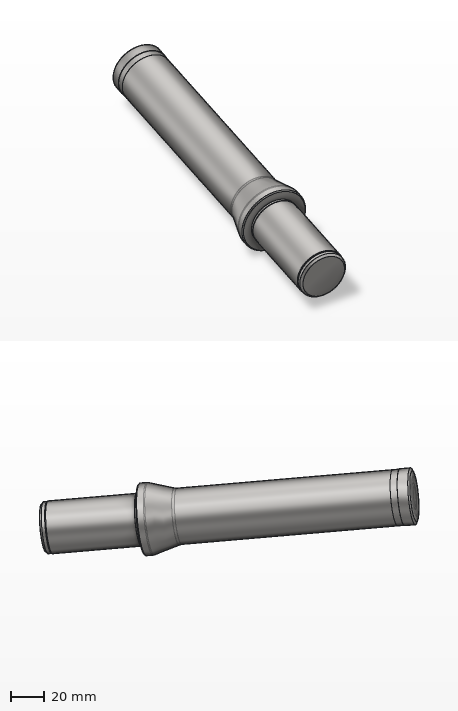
import cadquery as cq

LENGTH = 227.0
X_START = -LENGTH / 2
X_END = LENGTH / 2

COLLAR_RADIUS = 17.3
COLLAR_END = X_START + 7.7
CAP_END = X_START + 12.0
FACE_RADIUS = 15.32
BEVEL_LENGTH = 1.0
FACE_SLOPE = 0.1
RIDGE_WIDTH = 0.7
OUTER_RIDGE_RADIUS = 11.5
VALLEY_RADIUS = 8.0
INNER_RIDGE_RADIUS = 5.5

BARREL_RADIUS = 34.0 / 2
FLANGE_RADIUS = 44.0 / 2
CONE_START = X_START + 144.8
CONE_END = X_START + 161.6
FLANGE_END = X_START + 166.8
CONE_ROOT_FILLET = 5.7
CONE_RIM_FILLET = 2.7
FLANGE_CHAMFER = 0.7

RING_TOLERANCE = 0.2
RING_MARGIN = 2.3

SPIGOT_RADIUS = 32.0 / 2
RELIEF_RADIUS = 31.5 / 2
NECK_END = X_START + 168.7
TIP_START = X_START + 223.0
STEP_LENGTH = 0.7
TIP_CHAMFER = 1.4


def revolve_profile(points):
    """Turn a closed (x, radius) outline about the X axis."""
    return cq.Workplane("XY").polyline(points).close().revolve(360, (0, 0, 0), (1, 0, 0))


def make_cap():
    """Collared cap whose end face has two concentric ridges and a hollow centre."""
    outer_ridge_rim = OUTER_RIDGE_RADIUS + RIDGE_WIDTH
    inner_ridge_rim = INNER_RIDGE_RADIUS + RIDGE_WIDTH
    face_rim_x = X_START + FACE_SLOPE * (FACE_RADIUS - outer_ridge_rim)
    valley_x = X_START + FACE_SLOPE * (OUTER_RIDGE_RADIUS - VALLEY_RADIUS)
    inner_ridge_x = valley_x - FACE_SLOPE * (VALLEY_RADIUS - inner_ridge_rim)
    centre_x = inner_ridge_x + FACE_SLOPE * INNER_RIDGE_RADIUS
    return revolve_profile([
        (centre_x, 0),
        (inner_ridge_x, INNER_RIDGE_RADIUS),
        (inner_ridge_x, inner_ridge_rim),
        (valley_x, VALLEY_RADIUS),
        (X_START, OUTER_RIDGE_RADIUS),
        (X_START, outer_ridge_rim),
        (face_rim_x, FACE_RADIUS),
        (face_rim_x + BEVEL_LENGTH, COLLAR_RADIUS),
        (COLLAR_END, COLLAR_RADIUS),
        (COLLAR_END, BARREL_RADIUS),
        (CAP_END, BARREL_RADIUS),
        (CAP_END, 0),
    ])


def blend_ring(body, x, radius, blend):
    """Fillet the circular edge of the given radius at position x."""
    reach = radius + RING_MARGIN
    ring = cq.selectors.BoxSelector(
        (x - RING_TOLERANCE, -reach, -reach), (x + RING_TOLERANCE, reach, reach), boundingbox=True
    )
    return body.edges(ring).fillet(blend)


def make_shaft():
    """Barrel, conical flange and relieved spigot in one piece."""
    shaft = revolve_profile([
        (CAP_END, 0),
        (CAP_END, BARREL_RADIUS),
        (CONE_START, BARREL_RADIUS),
        (CONE_END, FLANGE_RADIUS),
        (FLANGE_END - FLANGE_CHAMFER, FLANGE_RADIUS),
        (FLANGE_END, FLANGE_RADIUS - FLANGE_CHAMFER),
        (FLANGE_END, RELIEF_RADIUS),
        (NECK_END, RELIEF_RADIUS),
        (NECK_END, SPIGOT_RADIUS),
        (TIP_START, SPIGOT_RADIUS),
        (TIP_START + STEP_LENGTH, RELIEF_RADIUS),
        (X_END - TIP_CHAMFER, RELIEF_RADIUS),
        (X_END, RELIEF_RADIUS - TIP_CHAMFER),
        (X_END, 0),
    ])
    shaft = blend_ring(shaft, CONE_START, BARREL_RADIUS, CONE_ROOT_FILLET)
    return blend_ring(shaft, CONE_END, FLANGE_RADIUS, CONE_RIM_FILLET)


cap = make_cap()
shaft = make_shaft()
result = cq.Compound.makeCompound([cap.val(), shaft.val()])